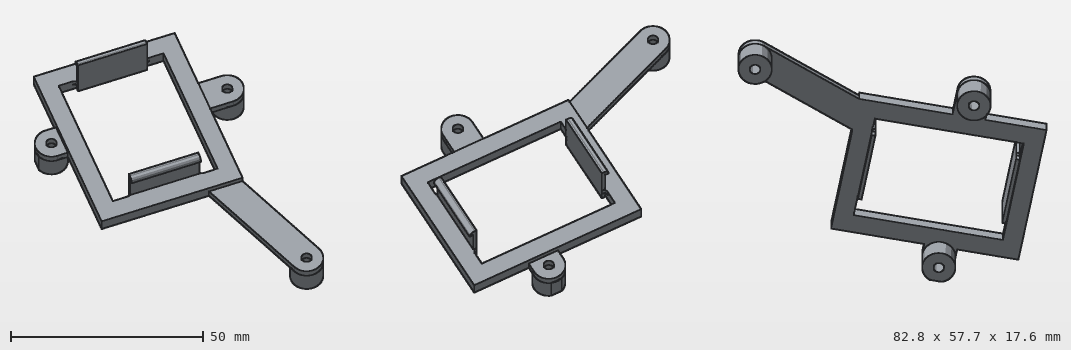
import cadquery as cq
import math

FRAME_LENGTH = 49.6
FRAME_WIDTH = 39.3
FRAME_HEIGHT = 3.5
FRAME_WALL = 5.05

TAB_WIDTH = 8.7
TAB_RADIUS = TAB_WIDTH / 2
TAB_THICKNESS = 2.0
HOLE_DIAMETER = 2.7
POST_DIAMETER = TAB_WIDTH
POST_HEIGHT = 6.0
POST_FLAT_WIDTH = 3.15
FRONT_HOLE_Y = -2.9
HOLE_SPACING_Y = 49.0
BACK_HOLE_Y = FRONT_HOLE_Y + HOLE_SPACING_Y
TAB_X = 20.55
OVERALL_LENGTH = 82.85
ARM_X = OVERALL_LENGTH - POST_DIAMETER / 2
ARM_ANGLE = 21.7

CLIP_LENGTH = 19.3
CLIP_THICKNESS = 1.0
CLIP_GAP = 0.2
CLIP_TOP = 11.6
HOOK_REACH = 1.1
HOOK_HEIGHT = 1.5
CLIP_ROOT_RADIUS = 1.0
CLIP_ROOT_HEIGHT = 1.5

FRONT_POINT = (TAB_X, FRONT_HOLE_Y)
BACK_POINT = (TAB_X, BACK_HOLE_Y)
ARM_POINT = (ARM_X, BACK_HOLE_Y)
MOUNT_POINTS = [FRONT_POINT, BACK_POINT, ARM_POINT]


def box(x, y, length, width, height):
    """Box on Z = 0 with its lower left corner at (x, y)."""
    return cq.Workplane("XY").box(length, width, height, centered=False).translate((x, y, 0))


def make_tab(point, angle, reach):
    """Round-ended tab around point, pointing along angle and running back by reach."""
    return (
        cq.Workplane("XY")
        .moveTo(-reach, -TAB_RADIUS)
        .lineTo(0, -TAB_RADIUS)
        .threePointArc((TAB_RADIUS, 0), (0, TAB_RADIUS))
        .lineTo(-reach, TAB_RADIUS)
        .close()
        .extrude(TAB_THICKNESS)
        .rotate((0, 0, 0), (0, 0, 1), angle)
        .translate((*point, 0))
    )


def make_left_clip():
    """Clip with a rounded outward hook, standing a small gap inside the opening.

    A root level with the frame top bridges the gap and flares into the wall at both ends.
    """
    outer_x = FRAME_WALL + CLIP_GAP
    inner_x = outer_x + CLIP_THICKNESS
    tip_x = outer_x - HOOK_REACH
    hook_z = CLIP_TOP - HOOK_HEIGHT
    start_y = (FRAME_WIDTH - CLIP_LENGTH) / 2
    end_y = start_y + CLIP_LENGTH
    arc_step = HOOK_HEIGHT * math.sqrt(0.5)
    clip = (
        cq.Workplane("XZ", origin=(0, end_y, 0))
        .moveTo(outer_x, 0)
        .lineTo(inner_x, 0)
        .lineTo(inner_x, CLIP_TOP)
        .lineTo(tip_x + HOOK_HEIGHT, CLIP_TOP)
        .threePointArc((tip_x + HOOK_HEIGHT - arc_step, hook_z + arc_step), (tip_x, hook_z))
        .lineTo(outer_x, hook_z)
        .close()
        .extrude(CLIP_LENGTH)
    )
    radius = CLIP_ROOT_RADIUS
    root_length = CLIP_LENGTH + 2 * radius
    root = box(FRAME_WALL, start_y - radius, inner_x - FRAME_WALL, root_length, CLIP_ROOT_HEIGHT)
    for corner_y in (start_y - radius, end_y + radius):
        root = root.cut(
            cq.Workplane("XY").center(FRAME_WALL + radius, corner_y).circle(radius).extrude(CLIP_ROOT_HEIGHT)
        )
        root = root.cut(
            box(FRAME_WALL + radius, corner_y - radius, CLIP_THICKNESS, 2 * radius, CLIP_ROOT_HEIGHT)
        )
    return clip.union(root.translate((0, 0, FRAME_HEIGHT - CLIP_ROOT_HEIGHT)))


def make_frame():
    """Frame with two straight tabs, a slanted arm and two facing clips."""
    frame = box(0, 0, FRAME_LENGTH, FRAME_WIDTH, FRAME_HEIGHT)
    frame = frame.union(make_tab(FRONT_POINT, -90, FRAME_WALL - FRONT_HOLE_Y))
    frame = frame.union(make_tab(BACK_POINT, 90, BACK_HOLE_Y - FRAME_WIDTH + FRAME_WALL))
    arm_reach = (ARM_X - FRAME_LENGTH + FRAME_WALL) / math.cos(math.radians(ARM_ANGLE))
    frame = frame.union(make_tab(ARM_POINT, ARM_ANGLE, arm_reach))
    opening = box(
        FRAME_WALL,
        FRAME_WALL,
        FRAME_LENGTH - 2 * FRAME_WALL,
        FRAME_WIDTH - 2 * FRAME_WALL,
        FRAME_HEIGHT,
    )
    frame = frame.cut(opening)
    left_clip = make_left_clip()
    right_clip = left_clip.mirror("YZ").translate((FRAME_LENGTH, 0, 0))
    frame = frame.union(left_clip).union(right_clip)
    holes = cq.Workplane("XY").pushPoints(MOUNT_POINTS).circle(HOLE_DIAMETER / 2).extrude(TAB_THICKNESS)
    return frame.cut(holes)


def make_post(point):
    """Drilled round post hanging below the tab at point."""
    return (
        cq.Workplane("XY")
        .center(*point)
        .circle(POST_DIAMETER / 2)
        .circle(HOLE_DIAMETER / 2)
        .extrude(-POST_HEIGHT)
    )


def cut_front_flat(post):
    """Cut a narrow upright flat on the outer side of the front post."""
    flat_distance = math.sqrt((POST_DIAMETER / 2) ** 2 - (POST_FLAT_WIDTH / 2) ** 2)
    cutter = box(
        TAB_X - POST_DIAMETER / 2,
        FRONT_HOLE_Y - flat_distance - POST_DIAMETER,
        POST_DIAMETER,
        POST_DIAMETER,
        POST_HEIGHT,
    ).translate((0, 0, -POST_HEIGHT))
    return post.cut(cutter)


frame = make_frame()

posts = []
for mount_point in MOUNT_POINTS:
    post = make_post(mount_point)
    if mount_point == FRONT_POINT:
        post = cut_front_flat(post)
    posts.append(post)

result = cq.Compound.makeCompound([frame.val(), *[post.val() for post in posts]])